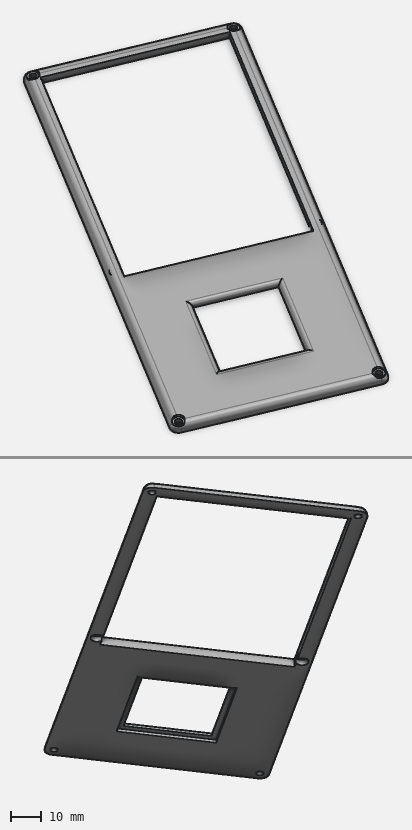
import cadquery as cq

length = 161.0
width = 74.0
thickness = 3.0
edge_radius = thickness
core_length = length - 2 * edge_radius
core_width = width - 2 * edge_radius

window_margin = 5.0
window_length = 89.2
window_width = width - 2 * window_margin

opening_size = 29.0
opening_rounding = 2.0
opening_center_x = 46.2
flared_size = opening_size + 2 * opening_rounding
recess_depth = thickness - opening_rounding

screw_diameter = 2.4
head_diameter = 4.2
head_depth = 1.0

pocket_diameter = 4.2
pocket_depth = 2.1
pocket_x = 10.1
pocket_y = 33.8


def rounded_plate():
    """Plate with quarter-round sides and spherical corners."""
    plate = cq.Workplane("XY").box(core_length, core_width, thickness, centered=(True, True, False))
    corner_points = [(sx * core_length / 2, sy * core_width / 2) for sx in (-1, 1) for sy in (-1, 1)]
    along_x = (
        cq.Workplane("YZ", origin=(-core_length / 2, 0, 0))
        .pushPoints([(-core_width / 2, 0), (core_width / 2, 0)])
        .circle(edge_radius)
        .extrude(core_length)
    )
    along_y = (
        cq.Workplane("XZ", origin=(0, core_width / 2, 0))
        .pushPoints([(-core_length / 2, 0), (core_length / 2, 0)])
        .circle(edge_radius)
        .extrude(core_width)
    )
    corners = cq.Workplane("XY").pushPoints(corner_points).sphere(edge_radius)
    upper_half = cq.Workplane("XY").box(length, width, thickness, centered=(True, True, False))
    return plate.union(along_x).union(along_y).union(corners).intersect(upper_half)


def display_window():
    """Cutter for the large rectangular window."""
    center_x = -length / 2 + window_margin + window_length / 2
    return (
        cq.Workplane("XY")
        .center(center_x, 0)
        .rect(window_length, window_width)
        .extrude(thickness)
    )


def opening_cutter():
    """Cutter for the square opening, flared at the top so that the plate edge is rounded over."""
    half_flare = flared_size / 2
    flare = (
        cq.Workplane("XY", origin=(0, 0, recess_depth))
        .rect(flared_size, flared_size)
        .extrude(opening_rounding)
    )
    for plane in ("XZ", "YZ"):
        bars = (
            cq.Workplane(plane)
            .pushPoints([(-half_flare, recess_depth), (half_flare, recess_depth)])
            .circle(opening_rounding)
            .extrude(half_flare, both=True)
        )
        flare = flare.cut(bars)
    recess = cq.Workplane("XY").rect(flared_size, flared_size).extrude(recess_depth)
    return flare.union(recess).translate((opening_center_x, 0, 0))


def rail_pockets():
    """Cutters for the blind pockets, open at the underside."""
    return (
        cq.Workplane("XY")
        .pushPoints([(pocket_x, -pocket_y), (pocket_x, pocket_y)])
        .circle(pocket_diameter / 2)
        .extrude(pocket_depth)
    )


def screw_holes(plate):
    """Counterbored through holes in the four corners."""
    return (
        plate.faces(">Z")
        .workplane(origin=(0, 0, thickness))
        .rect(core_length, core_width, forConstruction=True)
        .vertices()
        .cboreHole(screw_diameter, head_diameter, head_depth)
    )


framed_plate = rounded_plate().cut(display_window()).cut(opening_cutter()).cut(rail_pockets())
result = screw_holes(framed_plate)